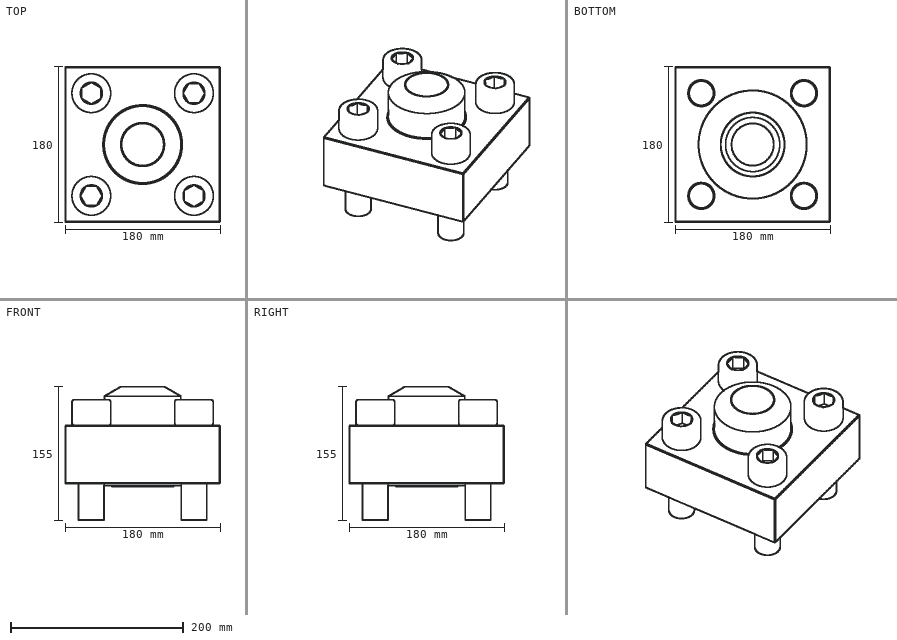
import cadquery as cq
import math


block_width = 180.0
block_height = 67.5
block_chamfer = 1.0
neck_hole_diameter = 90.1
neck_hole_chamfer = 1.0
bolt_hole_diameter = 31.0
bolt_spacing = 119.0
collar_recess_diameter = 126.0
collar_recess_depth = 25.0

neck_diameter = 88.9
neck_root_diameter = 89.6
neck_root_exposed_height = 0.5
collar_diameter = 125.0
collar_protrusion = 2.5
stub_top = 112.5
bevel_angle = 30.0
bevel_land = 1.0
bore_diameter = 48.9
bore_foot_diameter = 49.0
straight_bore_length = 22.5

groove_outer_diameter = 74.6
groove_inner_diameter = 62.87
groove_depth = 4.3
seal_section_diameter = 5.33

thread_diameter = 30.0
shank_length = 110.0
shank_chamfer = 1.0
head_diameter = 45.0
head_height = 30.0
head_fillet = 3.0
socket_width = 22.0
socket_depth = 17.0
socket_chamfer_angle = 30.0
hexagon_sides = 6

collar_bottom = -collar_protrusion


def make_flange():
    block = cq.Workplane("XY").box(block_width, block_width, block_height, centered=(True, True, False))
    block = block.edges().chamfer(block_chamfer)

    neck_hole = cq.Workplane("XY").circle(neck_hole_diameter / 2).extrude(block_height)
    recess = cq.Workplane("XY").circle(collar_recess_diameter / 2).extrude(collar_recess_depth)
    bolt_holes = (
        cq.Workplane("XY")
        .rect(bolt_spacing, bolt_spacing, forConstruction=True)
        .vertices()
        .circle(bolt_hole_diameter / 2)
        .extrude(block_height)
    )
    neck_hole_lead_in = (
        cq.Workplane("XY", origin=(0, 0, block_height))
        .circle(neck_hole_diameter / 2 + neck_hole_chamfer)
        .extrude(-neck_hole_chamfer, taper=45)
    )
    return block.cut(neck_hole).cut(recess).cut(bolt_holes).cut(neck_hole_lead_in)


def make_stub():
    bore_radius = bore_diameter / 2
    bore_foot_radius = bore_foot_diameter / 2
    neck_radius = neck_diameter / 2
    neck_root_radius = neck_root_diameter / 2
    neck_root_top = block_height + neck_root_exposed_height
    collar_radius = collar_diameter / 2
    tip_radius = bore_radius + bevel_land
    groove_top = collar_bottom + groove_depth
    bevel_height = (neck_radius - tip_radius) * math.tan(math.radians(bevel_angle))
    half_section = [
        (bore_foot_radius, collar_bottom),
        (groove_inner_diameter / 2, collar_bottom),
        (groove_inner_diameter / 2, groove_top),
        (groove_outer_diameter / 2, groove_top),
        (groove_outer_diameter / 2, collar_bottom),
        (collar_radius, collar_bottom),
        (collar_radius, collar_recess_depth),
        (neck_root_radius, collar_recess_depth),
        (neck_root_radius, neck_root_top),
        (neck_radius, neck_root_top),
        (neck_radius, stub_top - bevel_height),
        (tip_radius, stub_top),
        (bore_radius, stub_top),
        (bore_radius, stub_top - straight_bore_length),
    ]
    return cq.Workplane("XZ").polyline(half_section).close().revolve(360, (0, 0), (0, 1))


def make_seal():
    section_radius = seal_section_diameter / 2
    ring_radius = groove_inner_diameter / 2 + section_radius
    ring_height = collar_bottom + groove_depth - section_radius
    return (
        cq.Workplane("XZ")
        .center(ring_radius, ring_height)
        .circle(section_radius)
        .revolve(360, (-ring_radius, 0), (-ring_radius, 1))
    )


def make_bolt(x, y, socket_turn):
    """Cap screw seated on the block at (x, y), its hexagon turned about Z by socket_turn degrees."""
    head = (
        cq.Workplane("XY")
        .circle(head_diameter / 2)
        .extrude(head_height)
        .edges()
        .fillet(head_fillet)
    )
    shank = (
        cq.Workplane("XY")
        .circle(thread_diameter / 2)
        .extrude(-shank_length)
        .faces("<Z")
        .edges()
        .chamfer(shank_chamfer)
    )

    corner_diameter = socket_width / math.cos(math.pi / hexagon_sides)
    mouth = cq.Workplane("XY", origin=(0, 0, head_height))
    hexagon = mouth.polygon(hexagon_sides, corner_diameter).extrude(-socket_depth)
    corner_radius = corner_diameter / 2
    cone_depth = corner_radius * math.tan(math.radians(socket_chamfer_angle))
    cone = cq.Workplane(
        cq.Solid.makeCone(0, corner_radius, cone_depth, pnt=cq.Vector(0, 0, head_height - cone_depth))
    )

    bolt = head.union(shank).cut(hexagon).cut(cone)
    return bolt.rotate((0, 0, 0), (0, 0, 1), socket_turn).translate((x, y, block_height))


flange = make_flange()
stub = make_stub()
seal = make_seal()

bolts = []
corner_distance = bolt_spacing / math.sqrt(2)
for quarter in range(4):
    turn = 90 * quarter
    corner_angle = math.radians(turn + 45)
    bolt_x = corner_distance * math.cos(corner_angle)
    bolt_y = corner_distance * math.sin(corner_angle)
    bolts.append(make_bolt(bolt_x, bolt_y, turn))

result = cq.Compound.makeCompound(
    [flange.val(), stub.val(), seal.val(), *[bolt.val() for bolt in bolts]]
)